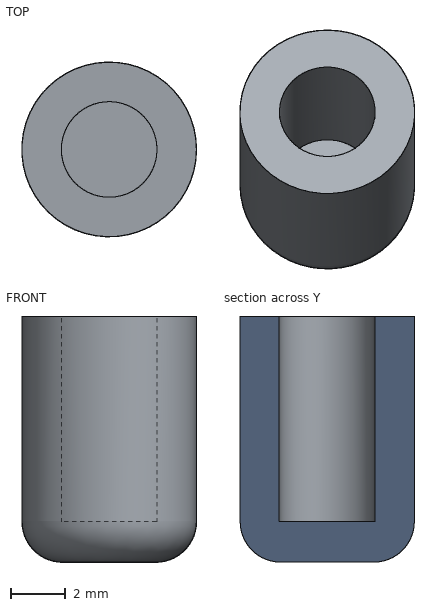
import cadquery as cq

outer_diameter = 6.4
height = 9.0
bore_diameter = 3.5
bottom_radius = 1.5

bore_depth = height - bottom_radius


def rounded_body():
    """Cylinder standing on Z = 0 with a rounded bottom edge."""
    cylinder = cq.Workplane("XY").circle(outer_diameter / 2).extrude(height)
    return cylinder.faces("<Z").edges().fillet(bottom_radius)


def blind_bore(body):
    """Flat-bottomed hole sunk from the top face along the axis."""
    return body.faces(">Z").workplane().hole(bore_diameter, bore_depth)


result = blind_bore(rounded_body())